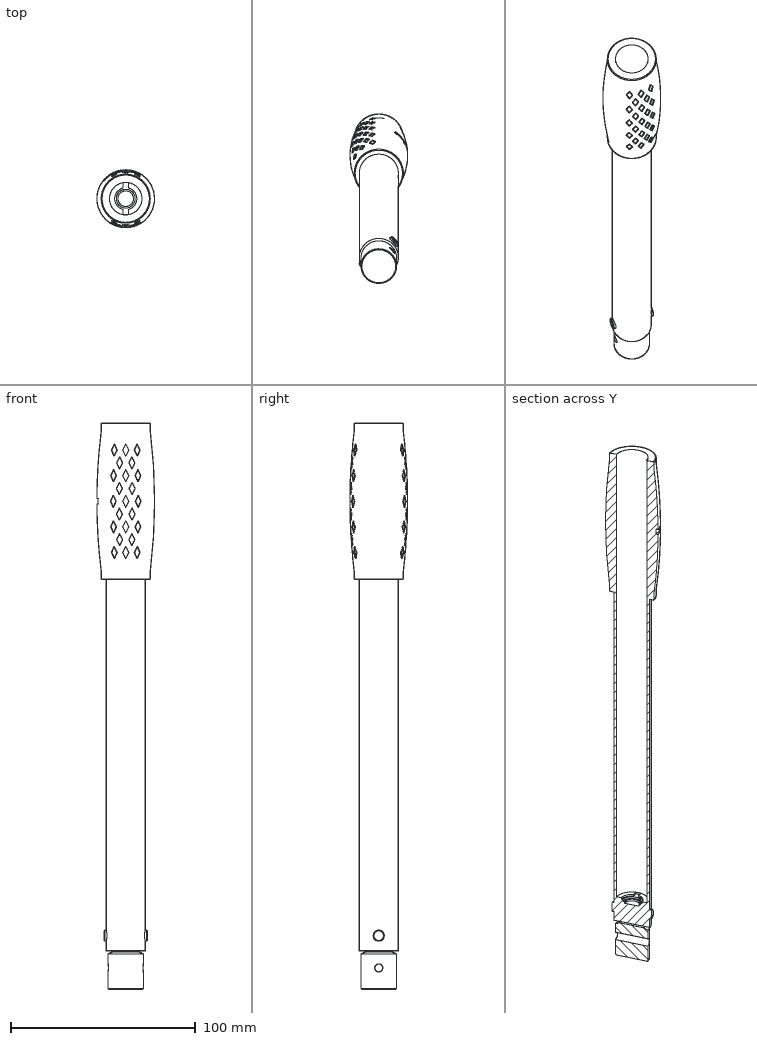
import cadquery as cq

TOTAL_LENGTH = 307.0
PLUG_LENGTH = 20.4
PLUG_GAP = 0.6
TUBE_BOTTOM = PLUG_LENGTH + PLUG_GAP

GRIP_LENGTH = 85.0
GRIP_BAND_LENGTH = 4.0
GRIP_END_RADIUS = 13.3
GRIP_MAX_RADIUS = 31.41 / 2
GRIP_EDGE_CHAMFER = 0.5
GRIP_TOP = TOTAL_LENGTH
GRIP_BOTTOM = GRIP_TOP - GRIP_LENGTH
GRIP_MIDDLE = (GRIP_TOP + GRIP_BOTTOM) / 2

TUBE_RADIUS = 10.6
BORE_RADIUS = 8.8
BORE_FLOOR = TUBE_BOTTOM + 15.0
RECESS_RADII = (6.0, 5.1, 4.2)
RECESS_STEP = 1.0
KEYWAY_WIDTH = 2.8
KEYWAY_SPAN = 17.3
KEYWAY_DEPTH = 1.0

BUTTON_RADIUS = 3.0
BUTTON_TIP = 11.7
BUTTON_EDGE_CHAMFER = 0.4
BUTTON_HEIGHT = 29.2

DIAMOND_WIDTH = 3.3
DIAMOND_HEIGHT = 6.5
DIAMOND_DEPTH = 0.5
DIAMOND_ROW_PITCH = 13.87
DIAMOND_COLUMN_ANGLE = 13.0
DIAMOND_COLUMNS = 5
DIAMOND_ROWS = 5

LABEL_WIDTH = 8.3
LABEL_HEIGHT = 2.8
LABEL_FLOOR = 14.6

PLUG_RADIUS = 9.65
PLUG_BOTTOM_CHAMFER = 0.5
PLUG_CONE_HEIGHT = 1.1
PLUG_CONE_WIDTH = 2.4
CROSS_HOLE_RADIUS = 2.1
CROSS_HOLE_HEIGHT = 11.7


def grip_barrel(inset=0.0):
    """Solid barrel of the grip, with its radii reduced by the inset."""
    end_radius = GRIP_END_RADIUS - inset
    edge_radius = end_radius - GRIP_EDGE_CHAMFER
    return (
        cq.Workplane("XZ")
        .moveTo(0, GRIP_BOTTOM)
        .lineTo(edge_radius, GRIP_BOTTOM)
        .lineTo(end_radius, GRIP_BOTTOM + GRIP_EDGE_CHAMFER)
        .lineTo(end_radius, GRIP_BOTTOM + GRIP_BAND_LENGTH)
        .threePointArc(
            (GRIP_MAX_RADIUS - inset, GRIP_MIDDLE),
            (end_radius, GRIP_TOP - GRIP_BAND_LENGTH),
        )
        .lineTo(end_radius, GRIP_TOP - GRIP_EDGE_CHAMFER)
        .lineTo(edge_radius, GRIP_TOP)
        .lineTo(0, GRIP_TOP)
        .close()
        .revolve(360, (0, 0, 0), (0, 1, 0))
    )


def diamond_prism(angle, height):
    """Diamond prism pointing outward from the grip axis; angle 0 faces -Y."""
    return (
        cq.Workplane("XZ", origin=(0, 0, height))
        .polyline([
            (-DIAMOND_WIDTH / 2, 0),
            (0, -DIAMOND_HEIGHT / 2),
            (DIAMOND_WIDTH / 2, 0),
            (0, DIAMOND_HEIGHT / 2),
        ])
        .close()
        .extrude(GRIP_MAX_RADIUS + 1)
        .rotate((0, 0, 0), (0, 0, 1), angle)
    )


def diamond_recesses():
    """Staggered diamonds on the -Y and +Y sides, down to a floor parallel to the barrel."""
    prisms = []
    for side_angle in (0, 180):
        for column in range(DIAMOND_COLUMNS):
            angle = side_angle + (column - (DIAMOND_COLUMNS - 1) / 2) * DIAMOND_COLUMN_ANGLE
            rows = DIAMOND_ROWS - column % 2
            for row in range(rows):
                height = GRIP_MIDDLE + (row - (rows - 1) / 2) * DIAMOND_ROW_PITCH
                prisms.append(diamond_prism(angle, height).val())
    core = grip_barrel(DIAMOND_DEPTH).val()
    return [prism.cut(core) for prism in prisms]


def label_recess():
    depth = GRIP_MAX_RADIUS - LABEL_FLOOR
    return (
        cq.Workplane("XY")
        .box(depth, LABEL_WIDTH, LABEL_HEIGHT)
        .translate((-LABEL_FLOOR - depth / 2, 0, GRIP_MIDDLE))
    )


def button(side):
    """Round button on the +X (side 1) or -X (side -1) flank of the tube."""
    return (
        cq.Workplane("YZ", origin=(0, 0, BUTTON_HEIGHT))
        .circle(BUTTON_RADIUS)
        .extrude(side * BUTTON_TIP)
        .faces(">X" if side > 0 else "<X")
        .chamfer(BUTTON_EDGE_CHAMFER)
    )


def bore():
    """Bore from the top, with a stepped recess and two keyways in its floor."""
    cutter = (
        cq.Workplane("XY", origin=(0, 0, BORE_FLOOR))
        .circle(BORE_RADIUS)
        .extrude(GRIP_TOP - BORE_FLOOR)
    )
    for step, radius in enumerate(RECESS_RADII, start=1):
        cutter = cutter.union(
            cq.Workplane("XY", origin=(0, 0, BORE_FLOOR))
            .circle(radius)
            .extrude(-step * RECESS_STEP)
        )
    keyways = (
        cq.Workplane("XY", origin=(0, 0, BORE_FLOOR))
        .rect(KEYWAY_WIDTH, KEYWAY_SPAN)
        .extrude(-KEYWAY_DEPTH)
    )
    return cutter.union(keyways)


def make_handle():
    tube = (
        cq.Workplane("XY", origin=(0, 0, TUBE_BOTTOM))
        .circle(TUBE_RADIUS)
        .extrude(GRIP_TOP - TUBE_BOTTOM)
    )
    grip = grip_barrel().cut(label_recess())
    for recess in diamond_recesses():
        grip = grip.cut(cq.Workplane(recess))
    handle = tube.union(grip)
    for side in (-1, 1):
        handle = handle.union(button(side))
    return handle.cut(bore())


def make_plug():
    """Turned plug below the tube, coned at the top and cross-drilled along X."""
    blank = (
        cq.Workplane("XZ")
        .polyline([
            (0, 0),
            (PLUG_RADIUS - PLUG_BOTTOM_CHAMFER, 0),
            (PLUG_RADIUS, PLUG_BOTTOM_CHAMFER),
            (PLUG_RADIUS, PLUG_LENGTH - PLUG_CONE_HEIGHT),
            (PLUG_RADIUS - PLUG_CONE_WIDTH, PLUG_LENGTH),
            (0, PLUG_LENGTH),
        ])
        .close()
        .revolve(360, (0, 0, 0), (0, 1, 0))
    )
    cross_hole = (
        cq.Workplane("YZ", origin=(0, 0, CROSS_HOLE_HEIGHT))
        .circle(CROSS_HOLE_RADIUS)
        .extrude(PLUG_RADIUS, both=True)
    )
    return blank.cut(cross_hole)


handle = make_handle()
plug = make_plug()
result = cq.Compound.makeCompound([handle.val(), plug.val()])